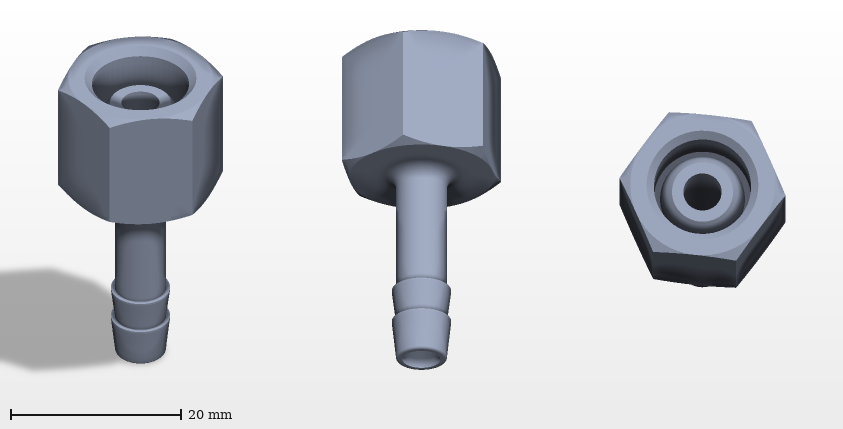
import cadquery as cq
import math

total_height = 39.0
across_flats = 17.0
nut_height = 15.0
nut_chamfer_angle = 30.0

stem_radius = 6.0 / 2
stem_fillet = 1.55
barb_radius = 7.0 / 2
barb_land = 0.25
barb_tops = (9.0, 5.0)
tip_fillet = 0.3

bore_diameter = 4.5
socket_diameter = 11.43
socket_mouth_diameter = 13.15
nose_radius = 10.0 / 2
nose_flat_radius = 7.18 / 2
nose_recess = 3.5

nut_bottom = total_height - nut_height
flat_radius = across_flats / 2
corner_radius = across_flats / math.sqrt(3)
nut_chamfer_height = (corner_radius - flat_radius) * math.tan(math.radians(nut_chamfer_angle))
nose_top = total_height - nose_recess
nose_height = math.sqrt(nose_radius**2 - nose_flat_radius**2)
socket_floor = nose_top - nose_height
mouth_chamfer = (socket_mouth_diameter - socket_diameter) / 2


def revolve_about_z(profile):
    """Revolve a closed radius-height profile about the Z axis."""
    return profile.close().revolve(360, (0, 0, 0), (0, 1, 0))


def make_nut():
    """Hexagon with points on X and conical chamfers at both ends."""
    hexagon = (
        cq.Workplane("XY", origin=(0, 0, nut_bottom))
        .polygon(6, 2 * corner_radius)
        .extrude(nut_height)
    )
    chamfer_envelope = revolve_about_z(
        cq.Workplane("XZ")
        .moveTo(0, nut_bottom)
        .lineTo(flat_radius, nut_bottom)
        .lineTo(corner_radius, nut_bottom + nut_chamfer_height)
        .lineTo(corner_radius, total_height - nut_chamfer_height)
        .lineTo(flat_radius, total_height)
        .lineTo(0, total_height)
    )
    return hexagon.intersect(chamfer_envelope)


def make_stem():
    """Plain stem that flares into the nut through a concave fillet."""
    fillet_start = nut_bottom - stem_fillet
    return revolve_about_z(
        cq.Workplane("XZ")
        .lineTo(stem_radius, 0)
        .lineTo(stem_radius, fillet_start)
        .radiusArc((stem_radius + stem_fillet, nut_bottom), stem_fillet)
        .lineTo(0, nut_bottom)
    ).faces("<Z").edges().fillet(tip_fillet)


def make_barb(bottom, top):
    """Barb that widens upward from the stem to a short cylindrical land."""
    return revolve_about_z(
        cq.Workplane("XZ")
        .moveTo(0, bottom)
        .lineTo(stem_radius, bottom)
        .lineTo(barb_radius, top - barb_land)
        .lineTo(barb_radius, top)
        .lineTo(0, top)
    )


def make_socket():
    """Socket space with a chamfered mouth, less the nose left standing."""
    socket = (
        cq.Workplane("XY", origin=(0, 0, socket_floor))
        .circle(socket_diameter / 2)
        .extrude(total_height - socket_floor)
    )
    mouth = revolve_about_z(
        cq.Workplane("XZ")
        .moveTo(0, total_height - mouth_chamfer)
        .lineTo(socket_diameter / 2, total_height - mouth_chamfer)
        .lineTo(socket_mouth_diameter / 2, total_height)
        .lineTo(0, total_height)
    )
    nose = revolve_about_z(
        cq.Workplane("XZ")
        .moveTo(0, socket_floor)
        .lineTo(nose_radius, socket_floor)
        .radiusArc((nose_flat_radius, nose_top), -nose_radius)
        .lineTo(0, nose_top)
    )
    return socket.union(mouth).cut(nose)


result = make_nut().union(make_stem())
barb_bottoms = barb_tops[1:] + (tip_fillet,)
for barb_bottom, barb_top in zip(barb_bottoms, barb_tops):
    result = result.union(make_barb(barb_bottom, barb_top))

bore = cq.Workplane("XY").circle(bore_diameter / 2).extrude(total_height)
result = result.cut(make_socket()).cut(bore)